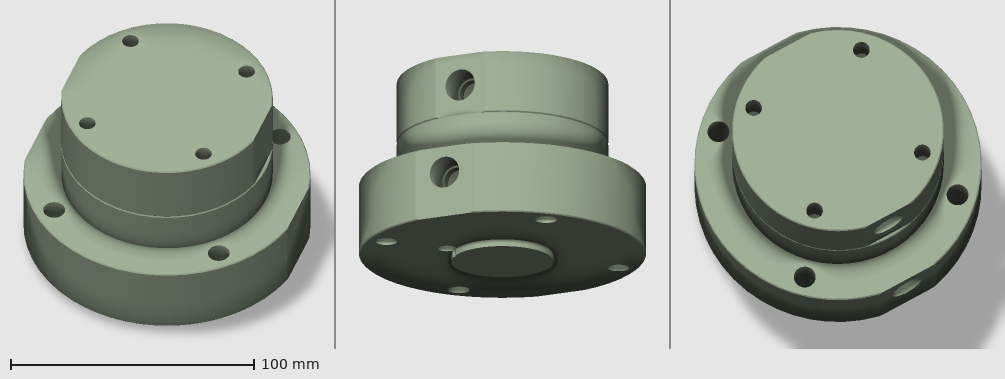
import cadquery as cq
import math

flange_diameter = 118.0
flange_flats_width = 115.0
flange_height = 30.0
pilot_diameter = 42.1
pilot_height = 3.0
neck_diameter = 87.0
neck_height = 18.0

cap_diameter = neck_diameter
cap_flats_width = 84.0
cap_height = 26.1

rim_chamfer = 0.5

bolt_hole_diameter = 9.0
bolt_circle_diameter = 102.0

cap_hole_diameter = 6.8
cap_hole_circle_diameter = 72.0
cap_hole_depth = 15.3

port_diameter = 13.2
port_depth = 11.8
port_taper = 1 / 16
port_drill_diameter = 10.7
port_drill_depth = 15.3
flange_port_height = 19.0

locating_hole_diameter = 7.5
locating_hole_radius = 24.3
locating_hole_angle = 135.0
locating_hole_depth = 11.8

drill_point_angle = 118.0
hole_count = 4
first_hole_angle = 45.0

flange_bottom = pilot_height
flange_top = flange_bottom + flange_height
neck_top = flange_top + neck_height
cap_top = neck_top + cap_height
flange_port_level = flange_bottom + flange_port_height
cap_port_level = neck_top + cap_height / 2


def disc(diameter, height, bottom):
    """Plain upright cylinder whose lower face is at the level `bottom`."""
    return cq.Workplane("XY").workplane(offset=bottom).circle(diameter / 2).extrude(height)


def flatted_disc(diameter, flats_width, height, bottom):
    """Disc with chamfered rims, trimmed by a pair of flats facing -X and +X."""
    round_disc = disc(diameter, height, bottom).edges("%CIRCLE").chamfer(rim_chamfer)
    trim = cq.Workplane("XY").workplane(offset=bottom).rect(flats_width, diameter).extrude(height)
    return round_disc.intersect(trim)


def drilled_hole(diameter, depth):
    """Hole from the origin up along Z, full diameter to `depth`, then a conical point."""
    radius = diameter / 2
    point_length = radius / math.tan(math.radians(drill_point_angle / 2))
    profile = [(0, 0), (radius, 0), (radius, depth), (0, depth + point_length)]
    return cq.Workplane("XZ").polyline(profile).close().revolve(360, (0, 0), (0, 1))


def port(flats_width, level):
    """Tapered port with its drilled hole, entering the -X flat along +X at the height `level`."""
    end_diameter = port_diameter - port_taper * port_depth
    entry = cq.Workplane(cq.Solid.makeCone(port_diameter / 2, end_diameter / 2, port_depth))
    cutter = entry.union(drilled_hole(port_drill_diameter, port_drill_depth))
    return cutter.rotate((0, 0, 0), (0, 1, 0), 90).translate((-flats_width / 2, 0, level))


def hole_centres(circle_diameter):
    """XY centres of the holes spaced evenly around a pitch circle."""
    radius = circle_diameter / 2
    angles = [math.radians(first_hole_angle + i * 360 / hole_count) for i in range(hole_count)]
    return [(radius * math.cos(a), radius * math.sin(a)) for a in angles]


def locating_hole():
    """Drilled hole rising past the side of the pilot into the flange."""
    hole = drilled_hole(locating_hole_diameter, pilot_height + locating_hole_depth)
    return hole.translate((locating_hole_radius, 0, 0)).rotate((0, 0, 0), (0, 0, 1), locating_hole_angle)


def make_base():
    """Flange with the pilot boss below, the neck above, bolt holes, locating hole and a side port."""
    neck = disc(neck_diameter, neck_height, flange_top).faces(">Z").edges().chamfer(rim_chamfer)
    base = flatted_disc(flange_diameter, flange_flats_width, flange_height, flange_bottom)
    base = base.union(disc(pilot_diameter, pilot_height, 0)).union(neck)
    for x, y in hole_centres(bolt_circle_diameter):
        base = base.cut(disc(bolt_hole_diameter, flange_height, flange_bottom).translate((x, y, 0)))
    base = base.cut(locating_hole())
    return base.cut(port(flange_flats_width, flange_port_level))


def make_cap():
    """Flatted disc with blind holes in its top face and a side port."""
    cap = flatted_disc(cap_diameter, cap_flats_width, cap_height, neck_top)
    hole = drilled_hole(cap_hole_diameter, cap_hole_depth).rotate((0, 0, 0), (1, 0, 0), 180)
    for x, y in hole_centres(cap_hole_circle_diameter):
        cap = cap.cut(hole.translate((x, y, cap_top)))
    return cap.cut(port(cap_flats_width, cap_port_level))


base = make_base()
cap = make_cap()

result = cq.Compound.makeCompound([base.val(), cap.val()])